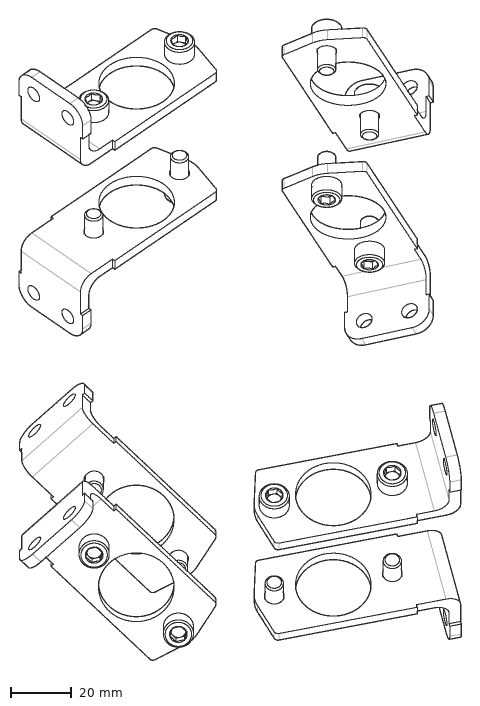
import cadquery as cq
import math


overall_height = 104.0
overall_depth = 66.7
width = 30.0
thickness = 4.0
flange_height = 27.0
bend_inner_radius = 5.0
bend_outer_radius = 5.0
bore_to_front = 40.0
bore_diameter = 25.0

relief_depth = 1.0
relief_length = 15.0

nose_angle = math.radians(15)
nose_radius = 10.0
shoulder_radius = 1.5

flange_corner_radius = 6.0
mounting_hole_diameter = 5.5
mounting_hole_spacing = 16.0
mounting_hole_height = 20.0

screw_spacing = 40.0
screw_hole_diameter = 6.5
shank_diameter = 6.0
shank_length = 12.0
head_diameter = 10.0
head_height = 6.0
screw_chamfer = 0.6
socket_across_flats = 5.0
socket_depth = 3.0
socket_mouth_diameter = 5.8
socket_tip_angle = math.radians(120)

half_width = width / 2
front = -bore_to_front
rear = front + overall_depth
plate_bottom = overall_height / 2 - flange_height
plate_top = plate_bottom + thickness
flange_top = plate_bottom + flange_height
screw_places = [-screw_spacing / 2, screw_spacing / 2]


def bent_sheet():
    """L-shaped sheet, bent along X, with a rounded inside and outside of the bend."""
    sheet = (
        cq.Workplane("YZ")
        .moveTo(front, plate_bottom)
        .lineTo(rear, plate_bottom)
        .lineTo(rear, plate_top)
        .lineTo(front + thickness, plate_top)
        .lineTo(front + thickness, flange_top)
        .lineTo(front, flange_top)
        .close()
        .extrude(half_width, both=True)
    )
    inner_edge = cq.NearestToPointSelector((0, front + thickness, plate_top))
    outer_edge = cq.NearestToPointSelector((0, front, plate_bottom))
    sheet = sheet.edges(inner_edge).fillet(bend_inner_radius)
    return sheet.edges(outer_edge).fillet(bend_outer_radius)


def plate_outline():
    """Prism over the plate's plan shape: straight sides and a blunt, rounded point at the rear."""
    sharp_tip = rear + nose_radius * (1 / math.cos(nose_angle) - 1)
    shoulder = sharp_tip - half_width * math.tan(nose_angle)
    prism = (
        cq.Workplane("XY")
        .polyline(
            [
                (-half_width, front),
                (half_width, front),
                (half_width, shoulder),
                (0, sharp_tip),
                (-half_width, shoulder),
            ]
        )
        .close()
        .extrude(flange_top)
    )
    prism = prism.edges("|Z and >Y").fillet(nose_radius)
    for side in (-1, 1):
        shoulder_edge = cq.NearestToPointSelector((side * half_width, shoulder, flange_top / 2))
        prism = prism.edges(shoulder_edge).fillet(shoulder_radius)
    return prism


def side_reliefs():
    """Cutters for the shallow steps on both sides of the bend."""
    return (
        cq.Workplane("XY")
        .pushPoints([(-half_width, front), (half_width, front)])
        .rect(2 * relief_depth, 2 * relief_length)
        .extrude(relief_length)
        .translate((0, 0, plate_bottom))
    )


def mounting_holes():
    """Cutters for the two holes through the flange."""
    half_spacing = mounting_hole_spacing / 2
    hole_level = plate_bottom + mounting_hole_height
    return (
        cq.Workplane("XZ", origin=(0, front + thickness, 0))
        .pushPoints([(-half_spacing, hole_level), (half_spacing, hole_level)])
        .circle(mounting_hole_diameter / 2)
        .extrude(thickness)
    )


def plate_holes():
    """Cutters for the large bore and the screw clearance holes."""
    plane = cq.Workplane("XY", origin=(0, 0, plate_bottom))
    bore = plane.circle(bore_diameter / 2).extrude(thickness)
    screw_holes = (
        plane.pushPoints([(0, y) for y in screw_places])
        .circle(screw_hole_diameter / 2)
        .extrude(thickness)
    )
    return bore.union(screw_holes)


def make_bracket():
    """Upper bracket, with its flange pointing up."""
    bracket = bent_sheet().intersect(plate_outline())
    bracket = bracket.edges("|Y and >Z").fillet(flange_corner_radius)
    return bracket.cut(side_reliefs()).cut(mounting_holes()).cut(plate_holes())


def hex_socket(y, head_top):
    """Cutter for a hexagonal socket with a countersunk mouth and a conical bottom."""
    flat_radius = socket_across_flats / 2
    mouth_radius = socket_mouth_diameter / 2
    mouth_depth = mouth_radius - flat_radius
    tip_depth = flat_radius / math.tan(socket_tip_angle / 2)
    hexagon = (
        cq.Workplane("XY", origin=(0, y, head_top))
        .polygon(6, socket_across_flats, circumscribed=True)
        .extrude(-socket_depth)
    )
    down = cq.Vector(0, 0, -1)
    mouth = cq.Solid.makeCone(mouth_radius, flat_radius, mouth_depth, cq.Vector(0, y, head_top), down)
    tip = cq.Solid.makeCone(flat_radius, 0, tip_depth, cq.Vector(0, y, head_top - socket_depth), down)
    return hexagon.union(cq.Workplane(mouth)).union(cq.Workplane(tip))


def make_screw(y):
    """Socket head screw pointing down, with its head resting on the upper plate."""
    head_top = plate_top + head_height
    head = cq.Workplane("XY", origin=(0, y, plate_top)).circle(head_diameter / 2).extrude(head_height)
    head = head.faces(">Z").edges().chamfer(screw_chamfer)
    shank = cq.Workplane("XY", origin=(0, y, plate_top)).circle(shank_diameter / 2).extrude(-shank_length)
    shank = shank.faces("<Z").edges().chamfer(screw_chamfer)

    return head.union(shank).cut(hex_socket(y, head_top))


upper_bodies = [make_bracket()] + [make_screw(y) for y in screw_places]
lower_bodies = [body.mirror("XY") for body in upper_bodies]

result = cq.Compound.makeCompound([body.val() for body in upper_bodies + lower_bodies])